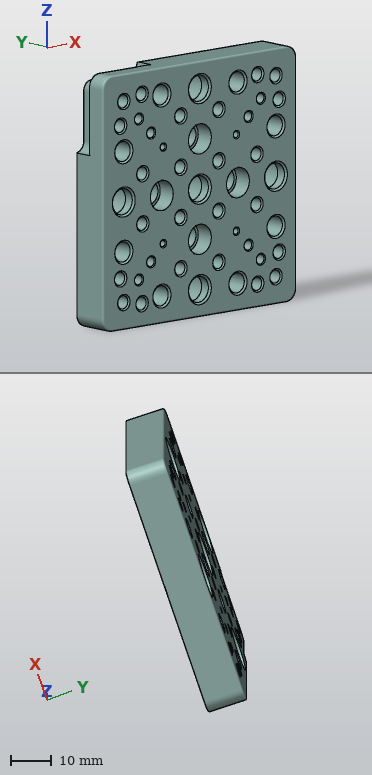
import cadquery as cq

side = 63.5
thickness = 10.0
half_side = side / 2
corner_radius = 3.2
edge_radius = 0.5

step_reach = 20.05
step_drop = 2.55
step_start = thickness / 2

grid_span = 50.0
pitch = grid_span / 4
outer_row = grid_span / 2

large_bore = 6.5
large_mouth = 7.5
large_front_depth = 3.0
large_back_bore = 11.0

counterbore = 7.5
counterbore_floor_bore = 6.0
counterbore_depth = 4.75

medium_bore = 5.0
medium_mouth = 6.0
small_bore = 3.3
small_mouth = 4.05
diagonal_bore = 2.5
diagonal_mouth = 3.0
tiny_bore = 1.6
tiny_mouth = 2.1

outer_offset = 26.05
row_offset = 19.0
diagonal_offsets = (20.0, 16.0)
tiny_offset = 12.0


def mirrored(x, z):
    """All distinct reflections of a point about the plate's two centre lines."""
    return sorted({(sx * x, sz * z) for sx in (-1, 1) for sz in (-1, 1)})


def swapped(x, z):
    """Reflections of a point, with its two coordinates also exchanged."""
    return sorted(set(mirrored(x, z) + mirrored(z, x)))


def cylinder(x, z, diameter, start, end):
    """Cylinder along Y between two depths."""
    return cq.Solid.makeCylinder(diameter / 2, end - start, cq.Vector(x, start, z), cq.Vector(0, 1, 0))


def countersunk_hole(x, z, bore, mouth):
    """Through hole with a 45 degree countersink in the front face."""
    sink_depth = (mouth - bore) / 2
    sink = cq.Solid.makeCone(mouth / 2, bore / 2, sink_depth, cq.Vector(x, 0, z), cq.Vector(0, 1, 0))
    return [sink, cylinder(x, z, bore, 0, thickness)]


def make_plate():
    plate = cq.Workplane("XZ").rect(side, side).extrude(-thickness)
    plate = plate.edges("|Y").fillet(corner_radius)
    return plate.faces("<Y or >Y").edges().fillet(edge_radius)


def make_step_cutter():
    """Waste outside the step: two arms that meet round the convex corner and end in concave arcs."""
    arm_end = step_reach - half_side
    floor = half_side - step_drop
    outline = (
        cq.Workplane("XZ", origin=(0, step_start, 0))
        .moveTo(-half_side, half_side)
        .lineTo(arm_end, half_side)
        .radiusArc((arm_end - step_drop, floor), step_drop)
        .lineTo(-floor + step_drop, floor)
        .radiusArc((-floor, floor - step_drop), -step_drop)
        .lineTo(-floor, -arm_end + step_drop)
        .radiusArc((-half_side, -arm_end), step_drop)
        .close()
    )
    return outline.extrude(step_start - thickness)


def make_hole_cutters():
    cutters = []
    for x, z in [(0, 0)] + swapped(outer_row, 0):
        cutters += countersunk_hole(x, z, large_bore, large_mouth)
        cutters.append(cylinder(x, z, large_back_bore, large_front_depth, thickness))
    for x, z in swapped(pitch, 0):
        cutters.append(cylinder(x, z, counterbore, 0, counterbore_depth))
        cutters.append(cylinder(x, z, counterbore_floor_bore, 0, thickness))
    for x, z in swapped(outer_row, pitch):
        cutters += countersunk_hole(x, z, medium_bore, medium_mouth)

    small_places = mirrored(outer_row, outer_row) + swapped(outer_offset, row_offset)
    small_places += mirrored(pitch / 2, pitch / 2) + mirrored(1.5 * pitch, pitch / 2)
    small_places += mirrored(pitch / 2, row_offset)
    for x, z in small_places:
        cutters += countersunk_hole(x, z, small_bore, small_mouth)

    for offset in diagonal_offsets:
        for x, z in mirrored(offset, offset):
            cutters += countersunk_hole(x, z, diagonal_bore, diagonal_mouth)
    for x, z in mirrored(tiny_offset, tiny_offset):
        cutters += countersunk_hole(x, z, tiny_bore, tiny_mouth)
    return cutters


solid = make_plate().cut(make_step_cutter()).val()
result = cq.Workplane(solid.cut(*make_hole_cutters()).Solids()[0])